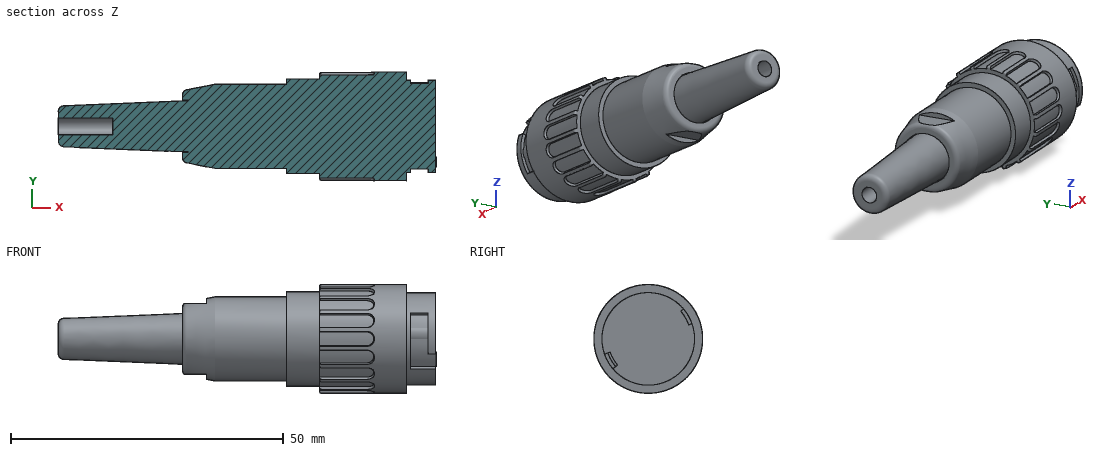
import cadquery as cq
import math


boot_tip_radius = 3.8
boot_tip_rounding = 1.1
boot_base_radius = 4.7
cable_hole_diameter = 3.0
cable_hole_depth = 10.0

nut_start = 22.8
nut_bore_radius = 9.6 / 2
nut_bore_depth = 1.0
nut_rounding = 1.0
nut_cone_angle = math.radians(11)
nut_cone_end = 28.8
flat_distance = 13.0 / 2
flat_end = 27.2

body_radius = 15.5 / 2
collar_start = 41.9
collar_radius = 17.4 / 2
sleeve_start = 47.95
sleeve_end = 63.95
sleeve_radius = 20.0 / 2

slot_count = 18
slot_width = 2.8
slot_wall_draft = 15
slot_end = 58.05
slot_floor_radius = 9.5
grip_edge_rounding = 0.4

ring_radius = 17.0 / 2
ring_end = 69.25
track_count = 2
track_floor_radius = 7.85
track_start = 64.7
track_width = 3.2
track_closed_z = 4.75
track_entry_z = -2.8
track_open_z = -5.5
detent_radius = 2.0
detent_z = 0.95
detent_width = 2.1

tab_end = 69.4
tab_inner_radius = 7.4


def x_cylinder(radius, start, end):
    return cq.Workplane("YZ", origin=(start, 0, 0)).circle(radius).extrude(end - start)


def turn(shape, degrees):
    return shape.rotate((0, 0, 0), (1, 0, 0), degrees)


def ring_angle(z):
    """Angle of a point at height z on the -Y side of the bayonet ring surface."""
    return math.asin(z / ring_radius)


def make_turned_body():
    nut_cone_start = nut_start + nut_rounding * (1 - math.sin(nut_cone_angle))
    nut_front_radius = body_radius - (nut_cone_end - nut_cone_start) * math.tan(nut_cone_angle)
    nut_face_radius = nut_front_radius - nut_rounding * math.cos(nut_cone_angle)
    diagonal = boot_tip_rounding * math.sqrt(0.5)
    return (
        cq.Workplane("XY")
        .moveTo(0, 0)
        .lineTo(0, boot_tip_radius - boot_tip_rounding)
        .threePointArc(
            (boot_tip_rounding - diagonal, boot_tip_radius - boot_tip_rounding + diagonal),
            (boot_tip_rounding, boot_tip_radius),
        )
        .lineTo(nut_start, boot_base_radius)
        .lineTo(nut_start + nut_bore_depth, boot_base_radius)
        .lineTo(nut_start + nut_bore_depth, nut_bore_radius)
        .lineTo(nut_start, nut_bore_radius)
        .lineTo(nut_start, nut_face_radius)
        .radiusArc((nut_cone_start, nut_front_radius), nut_rounding)
        .lineTo(nut_cone_end, body_radius)
        .lineTo(collar_start, body_radius)
        .lineTo(collar_start, collar_radius)
        .lineTo(sleeve_start, collar_radius)
        .lineTo(sleeve_start, sleeve_radius - grip_edge_rounding)
        .radiusArc((sleeve_start + grip_edge_rounding, sleeve_radius), grip_edge_rounding)
        .lineTo(sleeve_end, sleeve_radius)
        .lineTo(sleeve_end, ring_radius)
        .lineTo(ring_end, ring_radius)
        .lineTo(ring_end, 0)
        .close()
        .revolve(360, (0, 0, 0), (1, 0, 0))
    )


def cut_nut_flats(part):
    """Two wrench flats, above and below the axis, at the front of the nut."""
    span = 2 * body_radius
    length = flat_end - nut_start
    cutter = cq.Workplane("XY").box(length, span, span, centered=(False, True, False))
    cutter = cutter.translate((nut_start, 0, flat_distance))
    return part.cut(cutter).cut(turn(cutter, 180))


def cut_grip_slots(part):
    """Round-ended slots with sloping walls, open towards the cable end."""
    slot_start = sleeve_start - slot_width
    end_center = slot_end - slot_width / 2
    slot = (
        cq.Workplane("XZ", origin=(0, -sleeve_radius, 0))
        .moveTo(slot_start, -slot_width / 2)
        .lineTo(end_center, -slot_width / 2)
        .threePointArc((slot_end, 0), (end_center, slot_width / 2))
        .lineTo(slot_start, slot_width / 2)
        .close()
        .extrude(-2 * (sleeve_radius - slot_floor_radius), taper=slot_wall_draft)
        .cut(x_cylinder(slot_floor_radius, slot_start, slot_end))
    )
    for index in range(slot_count):
        part = part.cut(turn(slot, index * 360 / slot_count))
    return part


def ring_sector(inner, outer, start, end, low_z, high_z):
    """Part of a tube on the -Y side, with radial ends at the given ring heights."""
    reach = 2 * outer
    low = ring_angle(low_z)
    high = ring_angle(high_z)
    wedge = (
        cq.Workplane("YZ", origin=(start, 0, 0))
        .moveTo(0, 0)
        .lineTo(-reach * math.cos(low), reach * math.sin(low))
        .lineTo(-reach * math.cos(high), reach * math.sin(high))
        .close()
        .extrude(end - start)
    )
    tube = x_cylinder(outer, start, end).cut(x_cylinder(inner, start, end))
    return tube.intersect(wedge)


def make_track_cutter():
    """L-shaped bayonet track: a turn with a detent ridge on its floor, and an open entry."""
    track_end = track_start + track_width
    turn_leg = ring_sector(
        track_floor_radius, sleeve_radius, track_start, track_end, track_open_z, track_closed_z
    )
    entry_leg = ring_sector(
        track_floor_radius, sleeve_radius, track_start, ring_end, track_open_z, track_entry_z
    )
    half_width = detent_width / 2
    axis_distance = math.sqrt(track_floor_radius**2 - half_width**2)
    axis_distance -= math.sqrt(detent_radius**2 - half_width**2)
    tilt = math.asin(detent_z / track_floor_radius)
    detent = x_cylinder(detent_radius, track_start, track_end).translate(
        (0, -axis_distance * math.cos(tilt), axis_distance * math.sin(tilt))
    )
    return turn_leg.union(entry_leg).cut(detent)


def cut_bayonet_tracks(part):
    cutter = make_track_cutter()
    for index in range(track_count):
        part = part.cut(turn(cutter, index * 360 / track_count))
    return part


def add_key_tab(part):
    tab = ring_sector(
        tab_inner_radius, track_floor_radius, track_start, tab_end, track_open_z, track_entry_z
    )
    return part.union(tab)


result = make_turned_body()
result = result.cut(x_cylinder(cable_hole_diameter / 2, 0, cable_hole_depth))
result = cut_nut_flats(result)
result = cut_grip_slots(result)
result = cut_bayonet_tracks(result)
result = add_key_tab(result)